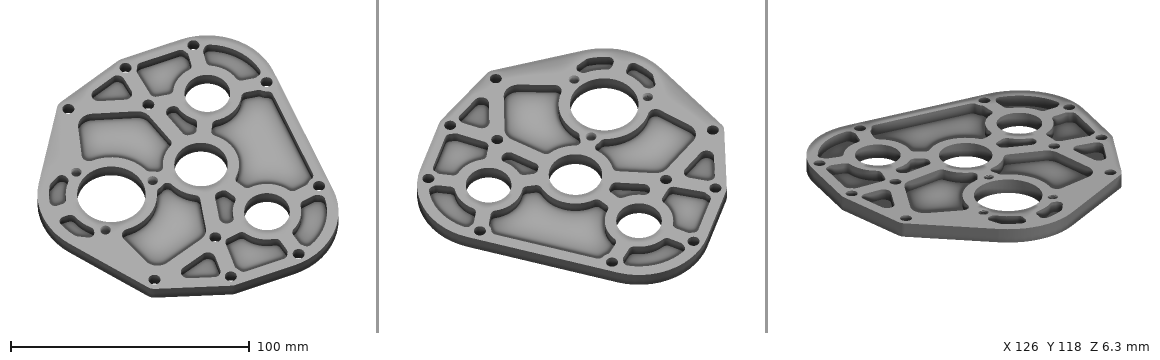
import cadquery as cq
import math

width = 126.0
top_edge_y = 87.0
thickness = 6.3
corner_outer_radius = 30.0
bottom_outer_radius = 31.0

pocket_depth = 4.8
rim = 4.8
web_half_width = 3.2
corner_radius = 2.4
wide_corner_radius = 3.2
large_corner_radius = 6.3

bearing_radius = 9.6
centre_radius = 11.2
main_radius = 14.4
screw_radius = 2.5
thread_minor_radius = 2.0
thread_major_radius = 2.3
thread_turns = 10
thread_circle_radius = 18.6
thread_side_angle = math.radians(210)

main = (0.0, 0.0)
centre = (0.0, 40.6)
thread_top = (0.0, thread_circle_radius)
bearing = (corner_outer_radius - width / 2, top_edge_y - corner_outer_radius)
top_screw = (-29.0, top_edge_y - rim)
upper_screw = (rim - width / 2, 61.0)
lower_screw = (rim - width / 2, 30.2)
inner_screw = (-37.0, 31.9)
foot_screw = (-47.6, 0.0)


def outward_point(radial, across):
    """Point at a radial distance from the main bore towards the left threaded hole, shifted across."""
    c = math.cos(thread_side_angle)
    s = math.sin(thread_side_angle)
    return (radial * c - across * s, radial * s + across * c)


thread_side = outward_point(thread_circle_radius, 0)

wall_distance = thread_circle_radius + rim + web_half_width
wall_reach = 15.1
wall_start = outward_point(wall_distance, -rim)
wall_end = outward_point(wall_distance, wall_reach)

webs = [
    (top_screw, bearing),
    (upper_screw, bearing),
    (bearing, centre),
    (bearing, inner_screw),
    (lower_screw, inner_screw),
    (inner_screw, centre),
    (inner_screw, foot_screw),
    (foot_screw, thread_side),
    (wall_start, wall_end),
]

eased_corners = [
    ((-32.8, 27.7), large_corner_radius),
    ((-41.6, 1.3), large_corner_radius),
    ((-20.2, -2.5), wide_corner_radius),
    ((-49.1, 12.6), wide_corner_radius),
    ((-44.1, 26.5), wide_corner_radius),
    ((-30.2, 39.1), wide_corner_radius),
]


def mirrored(point):
    return (-point[0], point[1])


def both_sides(points):
    return points + [mirrored(p) for p in points]


def polar(origin, radius, angle):
    return (origin[0] + radius * math.cos(angle), origin[1] + radius * math.sin(angle))


def disc(point, radius):
    return cq.Workplane("XY").center(*point).circle(radius).extrude(thickness)


def bar(start, end, half_width):
    """Straight bar of constant width between two points."""
    dx = end[0] - start[0]
    dy = end[1] - start[1]
    middle = ((start[0] + end[0]) / 2, (start[1] + end[1]) / 2, 0)
    return (
        cq.Workplane("XY")
        .rect(math.hypot(dx, dy), 2 * half_width)
        .extrude(thickness)
        .rotate((0, 0, 0), (0, 0, 1), math.degrees(math.atan2(dy, dx)))
        .translate(middle)
    )


def belt_plate(inset):
    """Plate bounded by a tight belt around circles, with its edge moved inwards by the inset."""
    left = [
        (bearing, corner_outer_radius - inset),
        (lower_screw, rim - inset),
        (foot_screw, rim - inset),
    ]
    right = [(mirrored(c), r) for c, r in reversed(left)]
    circles = left + [(main, bottom_outer_radius - inset)] + right

    leaving = []
    for (c1, r1), (c2, r2) in zip(circles, circles[1:] + circles[:1]):
        dx = c2[0] - c1[0]
        dy = c2[1] - c1[1]
        leaving.append(math.atan2(dy, dx) - math.acos((r1 - r2) / math.hypot(dx, dy)))

    outline = cq.Workplane("XY")
    for i, (c, r) in enumerate(circles):
        arrive = leaving[i - 1]
        half_sweep = (leaving[i] - arrive) % (2 * math.pi) / 2
        halfway = arrive + half_sweep
        if r > 0:
            first = polar(c, r, arrive)
        else:
            first = polar(c, r / math.cos(half_sweep), halfway)
        outline = outline.moveTo(*first) if i == 0 else outline.lineTo(*first)
        if r > 0:
            outline = outline.threePointArc(polar(c, r, halfway), polar(c, r, leaving[i]))
    return outline.close().extrude(thickness)


def cutter_areas(cutter_radius):
    """Areas open to the centre of a round cutter that keeps clear of rim, bosses and webs."""
    bosses = [(p, bearing_radius + rim) for p in both_sides([bearing])]
    bosses += [(centre, centre_radius + rim), (main, main_radius + rim), (thread_top, rim)]
    bosses += [(p, rim) for p in both_sides([top_screw, upper_screw, lower_screw, thread_side])]

    half_width = web_half_width + cutter_radius
    middle_web = bar(centre, (0, -bottom_outer_radius), half_width)
    areas = belt_plate(rim + cutter_radius).cut(middle_web)
    for point, radius in bosses:
        areas = areas.cut(disc(point, radius + cutter_radius))
    for start, end in webs:
        areas = areas.cut(bar(start, end, half_width))
        areas = areas.cut(bar(mirrored(start), mirrored(end), half_width))

    for corner, radius in eased_corners:
        for x, y in both_sides([corner]):
            nearest = cq.selectors.NearestToPointSelector((x, y, thickness / 2))
            areas = areas.edges("|Z").edges(nearest).fillet(radius - cutter_radius)
    return areas.solids().vals()


def pocket(area, cutter_radius):
    """Pocket left by the cutter, with every corner rounded to at least its radius."""
    return (
        cq.Workplane(area)
        .faces("<Z")
        .wires()
        .toPending()
        .offset2D(cutter_radius)
        .extrude(thickness)
        .translate((0, 0, thickness - pocket_depth))
    )


def threaded_hole(point):
    """Through hole whose wall is a stack of V grooves, one per thread turn."""
    pitch = thickness / thread_turns
    profile = [(0, 0), (thread_major_radius, 0)]
    for turn in range(thread_turns):
        profile.append((thread_minor_radius, (turn + 0.5) * pitch))
        profile.append((thread_major_radius, (turn + 1) * pitch))
    profile.append((0, thickness))
    return (
        cq.Workplane("XZ")
        .polyline(profile)
        .close()
        .revolve(360, (0, 0), (0, 1))
        .translate((*point, 0))
    )


result = belt_plate(0)

for area in cutter_areas(corner_radius):
    result = result.cut(pocket(area, corner_radius))

screws = both_sides([top_screw, upper_screw, lower_screw, inner_screw, foot_screw])
holes = [(p, bearing_radius) for p in both_sides([bearing])]
holes += [(centre, centre_radius), (main, main_radius)]
holes += [(p, screw_radius) for p in screws]
for point, radius in holes:
    result = result.cut(disc(point, radius))

for point in [thread_top] + both_sides([thread_side]):
    result = result.cut(threaded_hole(point))